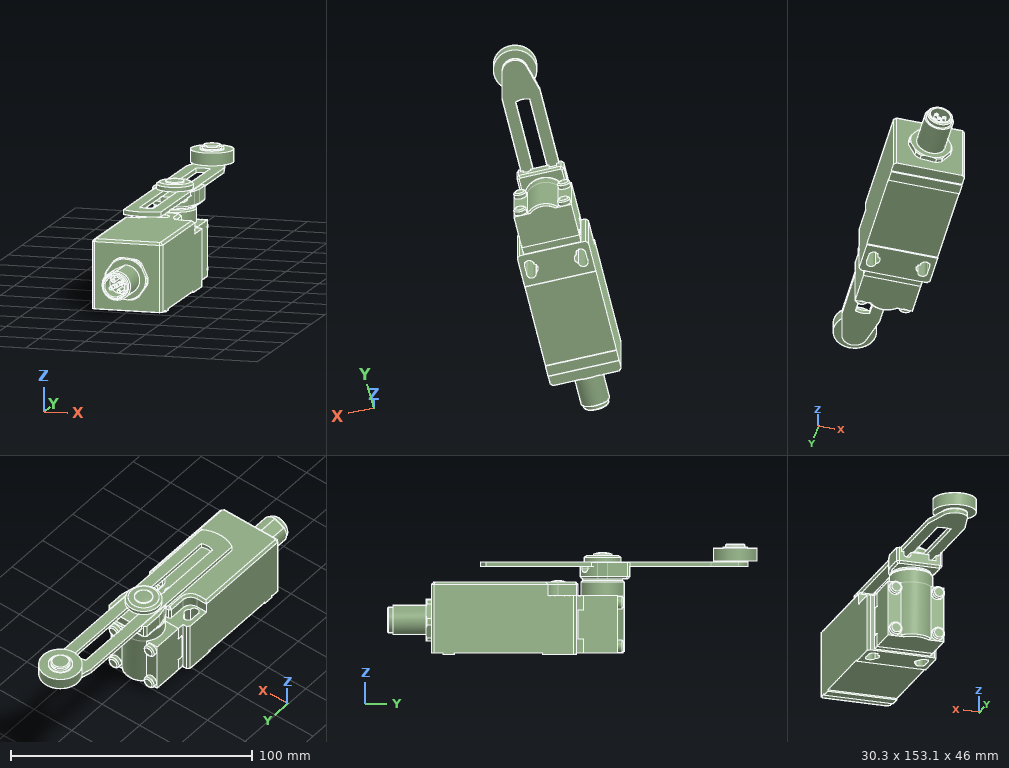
import cadquery as cq
import math


HOUSING_WIDTH = 30.3
HOUSING_FRONT = -70.9
HOUSING_BACK = -10.9
FOOT_HEIGHT = 0.6
HOUSING_TOP = 30.2
HOUSING_CHAMFER = 1.0
FOOT_SPANS = [(HOUSING_BACK, -25.0), (-61.4, -66.1)]

EAR_TOP = 24.5
POCKET_END = -22.7
TAB_HALF_WIDTH = 6.0
TAB_BACK = -10.1
TAB_CHAMFER = 0.8
POCKET_FILLET = 4.1

MOUNT_SLOT_X = 11.0
MOUNT_SLOT_Y = -17.8
MOUNT_SLOT_LENGTH = 8.0
MOUNT_SLOT_WIDTH = 4.0
MOUNT_HOLE_X = 10.0
MOUNT_HOLE_DIAMETER = 4.3

LAMP_Y = -18.4
LAMP_RADIUS = 2.9
LAMP_HEIGHT = 0.6

HEAD_WIDTH = 24.5
JOINT_Y = -7.8
TONGUE_END = -10.1
TONGUE_BOTTOM = 6.5
TONGUE_TOP = 18.5

CONNECTOR_Z = 14.4
NUT_LENGTH = 2.3
NUT_ACROSS_FLATS = 17.0
NUT_DIAMETER = 18.2
NUT_CHAMFER = 0.5
NUT_SIDES = 6
NUT_TURN = 25.0
SLEEVE_RADIUS = 6.1
SLEEVE_END = -86.8
SLEEVE_FLAT_DISTANCE = 5.5
SLEEVE_FLAT_ANGLE = 116.0
CONNECTOR_END = -89.1
TIP_RADIUS = 5.4
TIP_CHAMFER = 0.5
SOCKET_RADIUS = 4.3
SOCKET_DEPTH = 7.7
OUTER_PIN_COUNT = 4
PIN_CIRCLE_RADIUS = 2.5
PIN_RADIUS = 0.8
PIN_CHAMFER = 0.3
PIN_LENGTH = 6.1
PIN_START_ANGLE = 28.0

HEAD_BACK = 6.3
BARREL_RADIUS = 9.0
BARREL_TOP = 30.8
BARREL_CHAMFER = 0.8
NECK_RADIUS = 8.3
SCREW_X = 9.3
SCREW_HEIGHTS = [3.5, 21.6]
SCREW_RADIUS = 2.6
SCREW_LENGTH = 2.3
SCREW_CHAMFER = 0.6

ARM_WIDTH = 16.2
ARM_BOTTOM = 36.5
ARM_THICKNESS = 2.0
ARM_END_RADIUS = 5.4
ARM_TAPER_LENGTH = 10.1
ARM_FRONT_CORNER = -48.4
ARM_FRONT = -50.7
ARM_SLOT_WIDTH = 6.0
ARM_SLOT_HALF_LENGTH = 42.4
ARM_SLOT_BULGE = 0.6

CLAMP_WIDTH = 20.0
CLAMP_BACK = 11.3
CLAMP_NOSE_RADIUS = 9.3
CLAMP_SHOULDER = 2.0
CLAMP_BOTTOM = 31.4
CLAMP_TOP = 38.1
CLAMP_CORNER = 1.0
CLAMP_CHAMFER = 0.9
GROOVE_X = 5.5
GROOVE_WIDTH = 3.2
GROOVE_DEPTH = 2.3
GROOVE_FILLET = 1.5

CAP_RADIUS = 7.7
CAP_TOP_RADIUS = 6.5
CAP_HEIGHT = 2.8
CAP_BEVEL_HEIGHT = 0.9
CAP_DOME_RADIUS = 3.8
CAP_RIM_HEIGHT = 0.5
CAP_DOME_HEIGHT = 0.8

ROLLER_Y = 55.0
ROLLER_RADIUS = 9.0
ROLLER_BOTTOM = 38.7
ROLLER_TOP = 44.1
COLLAR_RADIUS = 5.0
COLLAR_TOP = 44.5
ROLLER_PIN_RADIUS = 4.0
ROLLER_PIN_TOP = 46.0
ROLLER_PIN_CHAMFER = 0.5

ARM_TOP = ARM_BOTTOM + ARM_THICKNESS


def block(x_size, y_start, y_end, z_bottom, z_top):
    """Box centred on X = 0 between the given Y and Z limits."""
    return (
        cq.Workplane("XY", origin=(0, (y_start + y_end) / 2, z_bottom))
        .box(x_size, abs(y_end - y_start), z_top - z_bottom, centered=(True, True, False))
    )


def disc(radius, z_bottom, z_top, y=0.0):
    """Upright cylinder with its axis in the plane X = 0."""
    return cq.Workplane("XY", origin=(0, y, z_bottom)).circle(radius).extrude(z_top - z_bottom)


def dome(radius, height, z_base, y=0.0):
    """Spherical cap standing on the level z_base."""
    sphere_radius = (radius**2 + height**2) / (2 * height)
    middle_radius = radius / 2
    middle_height = height - sphere_radius + math.sqrt(sphere_radius**2 - middle_radius**2)
    return (
        cq.Workplane("XZ", origin=(0, y, z_base))
        .moveTo(0, 0)
        .lineTo(radius, 0)
        .threePointArc((middle_radius, middle_height), (0, height))
        .close()
        .revolve(360, (0, 0), (0, 1))
    )


def connector_plane(y):
    """Workplane across the connector axis at the given Y, extruding towards -Y."""
    return cq.Workplane("XZ", origin=(0, y, CONNECTOR_Z))


def tangent_point(center_y, radius, x, y, side):
    """Where the line from (x, y) touches a circle centred on the Y axis.

    The side is +1 or -1 and turns from the circle-to-point direction to the touching point.
    """
    distance = math.hypot(x, y - center_y)
    angle = math.atan2(y - center_y, x) + side * math.acos(radius / distance)
    return radius * math.cos(angle), center_y + radius * math.sin(angle)


def mounting_pocket(side):
    """Open corner above one mounting ear, rounded where it meets the tab."""
    inner = side * TAB_HALF_WIDTH
    outer = side * HOUSING_WIDTH
    return (
        cq.Workplane("XY", origin=(0, 0, EAR_TOP))
        .moveTo(inner, 0)
        .lineTo(inner, POCKET_END + POCKET_FILLET)
        .radiusArc((inner + side * POCKET_FILLET, POCKET_END), -side * POCKET_FILLET)
        .lineTo(outer, POCKET_END)
        .lineTo(outer, 0)
        .close()
        .extrude(HOUSING_TOP)
    )


def make_case():
    """Chamfered box with a tab between two pockets and a joint to the head."""
    case = block(HOUSING_WIDTH, HOUSING_FRONT, HOUSING_BACK, FOOT_HEIGHT, HOUSING_TOP)
    case = case.edges("|Z").chamfer(HOUSING_CHAMFER)
    tab = block(2 * TAB_HALF_WIDTH, POCKET_END, TAB_BACK, EAR_TOP, HOUSING_TOP)
    case = case.union(tab.edges("|Z and >Y").chamfer(TAB_CHAMFER))
    for side in (-1, 1):
        case = case.cut(mounting_pocket(side))
    case = case.faces(">Z").edges().chamfer(HOUSING_CHAMFER)

    step = block(HEAD_WIDTH, HOUSING_BACK, JOINT_Y, FOOT_HEIGHT, EAR_TOP)
    case = case.union(step.cut(block(HEAD_WIDTH, TONGUE_END, JOINT_Y, TONGUE_BOTTOM, TONGUE_TOP)))
    return case


def make_feet():
    """Shallow pads under the housing, chamfered at the corners like the case."""
    outline = block(HOUSING_WIDTH, HOUSING_FRONT, HOUSING_BACK, 0, FOOT_HEIGHT)
    outline = outline.edges("|Z").chamfer(HOUSING_CHAMFER)
    pads = cq.Workplane("XY")
    for start, end in FOOT_SPANS:
        pads = pads.union(block(HOUSING_WIDTH, start, end, 0, FOOT_HEIGHT))
    return pads.intersect(outline)


def mounting_hole(side):
    """Slot through one ear, widened by a round hole towards the middle."""
    slot = (
        cq.Workplane("XY")
        .center(side * MOUNT_SLOT_X, MOUNT_SLOT_Y)
        .slot2D(MOUNT_SLOT_LENGTH, MOUNT_SLOT_WIDTH, 90)
        .extrude(HOUSING_TOP)
    )
    hole = (
        cq.Workplane("XY")
        .center(side * MOUNT_HOLE_X, MOUNT_SLOT_Y)
        .circle(MOUNT_HOLE_DIAMETER / 2)
        .extrude(HOUSING_TOP)
    )
    return slot.union(hole)


def make_connector():
    """Hexagon nut, flatted sleeve and socket with contact pins."""
    nut = (
        connector_plane(HOUSING_FRONT)
        .transformed(rotate=(0, 0, NUT_TURN))
        .polygon(NUT_SIDES, NUT_ACROSS_FLATS, circumscribed=True)
        .extrude(NUT_LENGTH)
    )
    turned = connector_plane(HOUSING_FRONT).circle(NUT_DIAMETER / 2).extrude(NUT_LENGTH)
    nut = nut.intersect(turned.faces("<Y").chamfer(NUT_CHAMFER))

    sleeve_start = HOUSING_FRONT - NUT_LENGTH
    sleeve = connector_plane(sleeve_start).circle(SLEEVE_RADIUS).extrude(sleeve_start - SLEEVE_END)
    beyond_flat = (
        connector_plane(sleeve_start)
        .transformed(rotate=(0, 0, SLEEVE_FLAT_ANGLE))
        .center(SLEEVE_FLAT_DISTANCE + SLEEVE_RADIUS / 2, 0)
        .rect(SLEEVE_RADIUS, 2 * SLEEVE_RADIUS)
        .extrude(sleeve_start - SLEEVE_END)
    )
    tip = connector_plane(SLEEVE_END).circle(TIP_RADIUS).extrude(SLEEVE_END - CONNECTOR_END)
    tip = tip.faces("<Y").chamfer(TIP_CHAMFER)

    socket_floor = CONNECTOR_END + SOCKET_DEPTH
    socket = connector_plane(socket_floor).circle(SOCKET_RADIUS).extrude(SOCKET_DEPTH)
    outer_pins = (
        connector_plane(socket_floor)
        .polarArray(PIN_CIRCLE_RADIUS, PIN_START_ANGLE, 360, OUTER_PIN_COUNT)
        .circle(PIN_RADIUS)
        .extrude(PIN_LENGTH)
    )
    middle_pin = connector_plane(socket_floor).circle(PIN_RADIUS).extrude(PIN_LENGTH)
    pins = outer_pins.union(middle_pin).faces("<Y").chamfer(PIN_CHAMFER)
    return nut.union(sleeve.cut(beyond_flat)).union(tip).cut(socket).union(pins)


def make_housing():
    body = make_case().union(make_feet())
    for side in (-1, 1):
        body = body.cut(mounting_hole(side))
    lamp = dome(LAMP_RADIUS, LAMP_HEIGHT, HOUSING_TOP, LAMP_Y)
    return body.union(lamp).union(make_connector())


def make_head():
    """Block with its tongue, upright barrel, neck under the clamp and four screw heads."""
    head = block(HEAD_WIDTH, JOINT_Y, HEAD_BACK, FOOT_HEIGHT, EAR_TOP)
    head = head.union(block(HEAD_WIDTH, TONGUE_END, JOINT_Y, TONGUE_BOTTOM, TONGUE_TOP))

    lower_barrel = disc(BARREL_RADIUS, FOOT_HEIGHT, EAR_TOP).faces("<Z").chamfer(BARREL_CHAMFER)
    lower_barrel = lower_barrel.intersect(
        block(HEAD_WIDTH, JOINT_Y, BARREL_RADIUS, FOOT_HEIGHT, EAR_TOP)
    )
    upper_barrel = disc(BARREL_RADIUS, EAR_TOP, BARREL_TOP).faces(">Z").chamfer(BARREL_CHAMFER)
    head = head.union(lower_barrel).union(upper_barrel)
    head = head.union(disc(NECK_RADIUS, EAR_TOP, CLAMP_BOTTOM))

    screws = (
        cq.Workplane("XZ", origin=(0, HEAD_BACK, 0))
        .pushPoints([(side * SCREW_X, z) for side in (-1, 1) for z in SCREW_HEIGHTS])
        .circle(SCREW_RADIUS)
        .extrude(-SCREW_LENGTH)
    )
    return head.union(screws.faces(">Y").chamfer(SCREW_CHAMFER))


def make_clamp():
    """Lever holder: straight back, round nose, channel for the arm and two grooves."""
    half_width = CLAMP_WIDTH / 2
    nose_x, nose_y = tangent_point(0, CLAMP_NOSE_RADIUS, half_width, CLAMP_SHOULDER, -1)
    clamp = (
        cq.Workplane("XY", origin=(0, 0, CLAMP_BOTTOM))
        .moveTo(nose_x, nose_y)
        .lineTo(half_width, CLAMP_SHOULDER)
        .lineTo(half_width, CLAMP_BACK - CLAMP_CORNER)
        .lineTo(half_width - CLAMP_CORNER, CLAMP_BACK)
        .lineTo(CLAMP_CORNER - half_width, CLAMP_BACK)
        .lineTo(-half_width, CLAMP_BACK - CLAMP_CORNER)
        .lineTo(-half_width, CLAMP_SHOULDER)
        .lineTo(-nose_x, nose_y)
        .threePointArc((0, -CLAMP_NOSE_RADIUS), (nose_x, nose_y))
        .close()
        .extrude(CLAMP_TOP - CLAMP_BOTTOM)
        .faces("<Z")
        .chamfer(CLAMP_CHAMFER)
    )
    clamp = clamp.cut(block(ARM_WIDTH, -CLAMP_BACK, CLAMP_BACK, ARM_BOTTOM, CLAMP_TOP))

    groove_floor = ARM_BOTTOM - GROOVE_DEPTH
    groove = block(GROOVE_WIDTH, -CLAMP_BACK, CLAMP_BACK, groove_floor, ARM_BOTTOM)
    round_groove = groove.edges("|Y and <Z").fillet(GROOVE_FILLET)
    clamp = clamp.cut(groove.translate((-GROOVE_X, 0, 0)))
    return clamp.cut(round_groove.translate((GROOVE_X, 0, 0)))


def make_arm():
    """Flat lever with a tapered, rounded roller end and a long adjusting slot."""
    half_width = ARM_WIDTH / 2
    taper_y = ROLLER_Y - ARM_TAPER_LENGTH
    end_x, end_y = tangent_point(ROLLER_Y, ARM_END_RADIUS, half_width, taper_y, 1)
    plate = (
        cq.Workplane("XY", origin=(0, 0, ARM_BOTTOM))
        .moveTo(half_width, ARM_FRONT_CORNER)
        .lineTo(half_width, taper_y)
        .lineTo(end_x, end_y)
        .threePointArc((0, ROLLER_Y + ARM_END_RADIUS), (-end_x, end_y))
        .lineTo(-half_width, taper_y)
        .lineTo(-half_width, ARM_FRONT_CORNER)
        .threePointArc((0, ARM_FRONT), (half_width, ARM_FRONT_CORNER))
        .close()
        .extrude(ARM_THICKNESS)
    )
    slot_x = ARM_SLOT_WIDTH / 2
    slot_corner = ARM_SLOT_HALF_LENGTH - ARM_SLOT_BULGE
    slot = (
        cq.Workplane("XY", origin=(0, 0, ARM_BOTTOM))
        .moveTo(slot_x, -slot_corner)
        .lineTo(slot_x, slot_corner)
        .threePointArc((0, ARM_SLOT_HALF_LENGTH), (-slot_x, slot_corner))
        .lineTo(-slot_x, -slot_corner)
        .threePointArc((0, -ARM_SLOT_HALF_LENGTH), (slot_x, -slot_corner))
        .close()
        .extrude(ARM_THICKNESS)
    )
    return plate.cut(slot)


def make_cap():
    """Bevelled round cap with a stepped, domed middle, resting on the arm."""
    cap_top = ARM_TOP + CAP_HEIGHT
    cap = disc(CAP_RADIUS, ARM_TOP, cap_top)
    cap = cap.faces(">Z").edges().chamfer(CAP_BEVEL_HEIGHT, CAP_RADIUS - CAP_TOP_RADIUS)
    rim_top = cap_top + CAP_RIM_HEIGHT
    cap = cap.union(disc(CAP_DOME_RADIUS, cap_top, rim_top))
    return cap.union(dome(CAP_DOME_RADIUS, CAP_DOME_HEIGHT, rim_top))


def make_roller():
    """Roller with a collar on both sides and the end of its pin on top."""
    wheel = disc(ROLLER_RADIUS, ROLLER_BOTTOM, ROLLER_TOP, ROLLER_Y)
    collars = disc(COLLAR_RADIUS, ARM_TOP, COLLAR_TOP, ROLLER_Y)
    pin = disc(ROLLER_PIN_RADIUS, ROLLER_TOP, ROLLER_PIN_TOP, ROLLER_Y)
    return wheel.union(collars).union(pin.faces(">Z").chamfer(ROLLER_PIN_CHAMFER))


housing = make_housing()
head = make_head()
clamp = make_clamp()
arm = make_arm()
cap = make_cap()
roller = make_roller()

result = cq.Compound.makeCompound(
    [housing.val(), head.val(), clamp.val(), arm.val(), cap.val(), roller.val()]
)